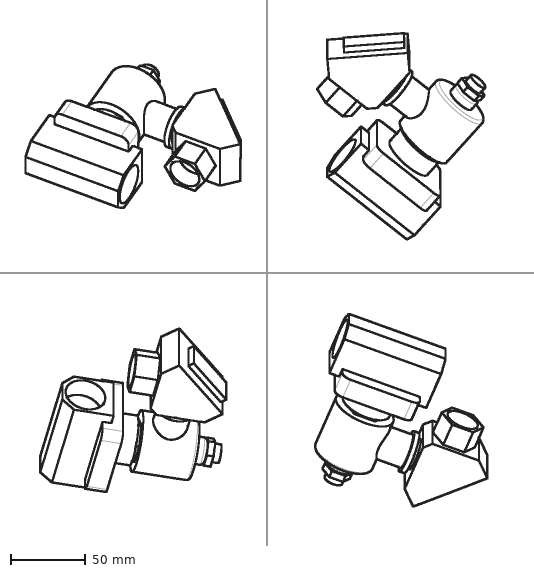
import cadquery as cq


HEX_SIDES = 6

BLOCK_LENGTH = 70.2
BLOCK_DEPTH = 35.4
BLOCK_HEIGHT = 31.9
BLOCK_CHAMFER = 8.0
PORT_DIAMETER = 27.3
PORT_DEPTH = 13.9
PORT_Y = BLOCK_HEIGHT / 2
FLANGE_SIDE = 56.0
FLANGE_THICKNESS = 14.2
FLANGE_RADIUS = 5.9
FLANGE_BACK = 43.4
NECK_DIAMETER = 34.1
NECK_LENGTH = 13.0
SEAT_CORNERS = 29.9
SEAT_LENGTH = 2.4

COIL_DIAMETER = 42.0
COIL_LENGTH = 39.2
COIL_FILLET = 1.9
BOSS_DIAMETER = 18.9
BOSS_LENGTH = 8.0
BOSS_FILLET = 2.5
NUT_CORNERS = 19.9
NUT_LENGTH = 4.7
STUD_DIAMETER = 12.9
STUD_LENGTH = 5.1
OUTLET_Y = 77.5
OUTLET_DIAMETER = 23.9
OUTLET_END = 37.7
COLLAR_DIAMETER = 29.0
COLLAR_WIDTH = 3.6
SPIGOT_DIAMETER = 21.7
SPIGOT_LENGTH = 2.5

PLUG_HEIGHT = 35.7
PLUG_RIGHT = 92.5
PLUG_FRONT = 57.8
PLUG_SIDE_LENGTH = 33.3
PLUG_SMALL_CHAMFER = 5.0
PLUG_END_CHAMFER = 10.2
LID_LENGTH = 40.6
LID_HEIGHT = 16.6
LID_THICKNESS = 4.3
LID_OFFSET = 4.6
GLAND_CORNERS = 30.4
GLAND_LENGTH = 16.1
GLAND_X = 64.1
GLAND_BORE = 22.0
GLAND_BORE_DEPTH = 12.8

NECK_BACK = FLANGE_BACK + NECK_LENGTH
COIL_FRONT = NECK_BACK + SEAT_LENGTH
COIL_BACK = COIL_FRONT + COIL_LENGTH
BOSS_BACK = COIL_BACK + BOSS_LENGTH
NUT_BACK = BOSS_BACK + NUT_LENGTH
COLLAR_END = OUTLET_END + COLLAR_WIDTH
PLUG_LEFT = COLLAR_END + SPIGOT_LENGTH


def plane_along_y(y, x=0):
    """Plane at the given Y whose normal is +Y and whose local x is +X."""
    return cq.Workplane(cq.Plane(origin=(x, y, 0), xDir=(1, 0, 0), normal=(0, 1, 0)))


def plane_along_x(x, y):
    """Plane at the given X whose normal is +X, centred on the given Y."""
    return cq.Workplane(cq.Plane(origin=(x, y, 0), xDir=(0, 1, 0), normal=(1, 0, 0)))


def cylinder_y(y, diameter, length):
    return plane_along_y(y).circle(diameter / 2).extrude(length)


def hexagon_y(y, corners, length, x=0):
    """Hexagonal prism along +Y with two corners on the X axis."""
    return plane_along_y(y, x).polygon(HEX_SIDES, corners).extrude(length)


def cylinder_x(x, diameter, length):
    """Cylinder along +X on the outlet axis."""
    return plane_along_x(x, OUTLET_Y).circle(diameter / 2).extrude(length)


def make_valve_body():
    block = (
        cq.Workplane("XY")
        .box(BLOCK_LENGTH, BLOCK_DEPTH, BLOCK_HEIGHT, centered=(True, False, True))
        .faces("<Y")
        .edges("|X")
        .chamfer(BLOCK_CHAMFER)
    )
    flange = (
        plane_along_y(FLANGE_BACK - FLANGE_THICKNESS)
        .rect(FLANGE_SIDE, FLANGE_SIDE)
        .extrude(FLANGE_THICKNESS)
        .edges("|Y")
        .fillet(FLANGE_RADIUS)
    )
    neck = cylinder_y(FLANGE_BACK, NECK_DIAMETER, NECK_LENGTH)
    seat = hexagon_y(NECK_BACK, SEAT_CORNERS, SEAT_LENGTH)
    body = block.union(flange).union(neck).union(seat)

    for side in (-1, 1):
        end_plane = plane_along_x(side * BLOCK_LENGTH / 2, PORT_Y)
        body = body.cut(end_plane.circle(PORT_DIAMETER / 2).extrude(-side * PORT_DEPTH))
    return body


def make_coil():
    housing = cylinder_y(COIL_FRONT, COIL_DIAMETER, COIL_LENGTH).faces(">Y").edges().fillet(COIL_FILLET)
    boss = cylinder_y(COIL_BACK, BOSS_DIAMETER, BOSS_LENGTH).faces(">Y").edges().fillet(BOSS_FILLET)
    nut = hexagon_y(BOSS_BACK, NUT_CORNERS, NUT_LENGTH)
    stud = cylinder_y(NUT_BACK, STUD_DIAMETER, STUD_LENGTH)
    outlet = cylinder_x(0, OUTLET_DIAMETER, OUTLET_END)
    collar = cylinder_x(OUTLET_END, COLLAR_DIAMETER, COLLAR_WIDTH)
    spigot = cylinder_x(COLLAR_END, SPIGOT_DIAMETER, SPIGOT_LENGTH)
    return housing.union(boss).union(nut).union(stud).union(outlet).union(collar).union(spigot)


def make_connector():
    side_front = PLUG_FRONT + PLUG_SMALL_CHAMFER
    side_back = side_front + PLUG_SIDE_LENGTH
    end_right = (PLUG_RIGHT, PLUG_FRONT + PLUG_END_CHAMFER)
    end_back = (PLUG_LEFT + PLUG_END_CHAMFER, side_back + PLUG_END_CHAMFER)
    plug = (
        cq.Workplane("XY", origin=(0, 0, -PLUG_HEIGHT / 2))
        .moveTo(PLUG_LEFT, side_front)
        .lineTo(PLUG_LEFT, side_back)
        .lineTo(*end_back)
        .lineTo(*end_right)
        .lineTo(PLUG_RIGHT - PLUG_END_CHAMFER, PLUG_FRONT)
        .lineTo(PLUG_LEFT + PLUG_SMALL_CHAMFER, PLUG_FRONT)
        .close()
        .extrude(PLUG_HEIGHT)
    )

    slant_x = end_right[0] - end_back[0]
    slant_y = end_right[1] - end_back[1]
    slant_middle = ((end_right[0] + end_back[0]) / 2, (end_right[1] + end_back[1]) / 2, 0)
    slant_plane = cq.Plane(origin=slant_middle, xDir=(slant_x, slant_y, 0), normal=(-slant_y, slant_x, 0))
    lid = (
        cq.Workplane(slant_plane)
        .center(-LID_OFFSET, 0)
        .rect(LID_LENGTH, LID_HEIGHT)
        .extrude(LID_THICKNESS)
    )

    gland_front = PLUG_FRONT - GLAND_LENGTH
    gland = hexagon_y(gland_front, GLAND_CORNERS, GLAND_LENGTH, GLAND_X)
    bore = plane_along_y(gland_front, GLAND_X).circle(GLAND_BORE / 2).extrude(GLAND_BORE_DEPTH)
    return plug.union(lid).union(gland).cut(bore)


valve_body = make_valve_body()
coil = make_coil()
connector = make_connector()

result = cq.Compound.makeCompound([valve_body.val(), coil.val(), connector.val()])